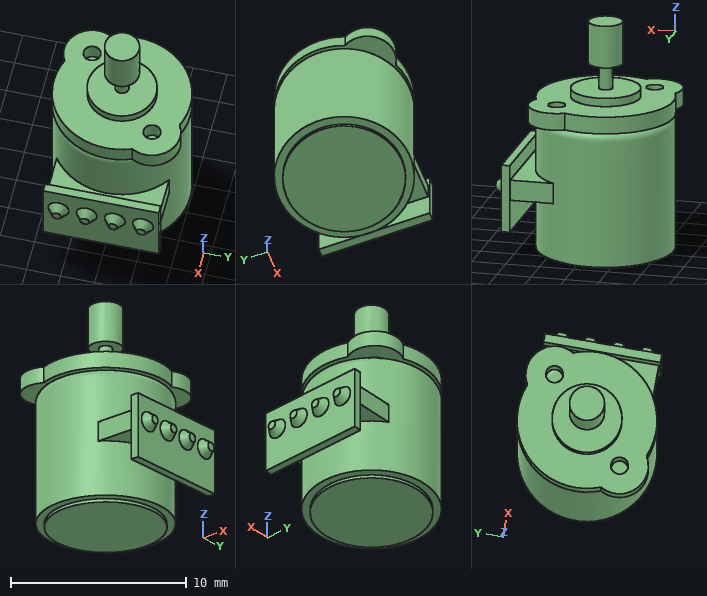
import cadquery as cq

body_radius = 4.0
body_height = 2 * body_radius
shoulder_fillet = 0.5
lip_radius = body_radius - shoulder_fillet
lip_height = 0.2

flange_thickness = 1.0
ear_offset = 2.3
ear_radius = 1.65
screw_hole_radius = 0.5

collar_radius = 2.0
collar_height = 0.5
shaft_radius = 0.4
pinion_radius = 1.0
pinion_height = 2.51
total_height = 13.7

terminal_tip_x = 5.8
terminal_length = 0.5
board_thickness = 0.51
board_width = 6.8
board_height = 4.0
board_center_z = 3.7
arm_width = 6.6
arm_height = 1.2
arm_center_z = 4.2
terminal_count = 4
terminal_pitch = arm_width / terminal_count
terminal_base_radius = 0.6
terminal_tip_radius = 0.26

body_top = lip_height + body_height
flange_top = body_top + flange_thickness
collar_top = flange_top + collar_height
pinion_bottom = total_height - pinion_height
board_outer_x = terminal_tip_x - terminal_length
board_inner_x = board_outer_x - board_thickness


def cylinder(radius, bottom, top, x=0, y=0):
    """Upright cylinder between two levels."""
    return cq.Workplane("XY", origin=(x, y, bottom)).circle(radius).extrude(top - bottom)


def make_body():
    """Can with a rounded top shoulder and a thin lip underneath."""
    can = cylinder(body_radius, lip_height, body_top)
    can = can.faces(">Z").edges().fillet(shoulder_fillet)
    return can.union(cylinder(lip_radius, 0, lip_height))


def make_flange():
    """Round flange with two opposite ears, each drilled through the flange."""
    flange = cylinder(body_radius, body_top, flange_top)
    ear_places = [(side * ear_offset, side * ear_offset) for side in (-1, 1)]
    for x, y in ear_places:
        flange = flange.union(cylinder(ear_radius, body_top, flange_top, x, y))
    for x, y in ear_places:
        flange = flange.cut(cylinder(screw_hole_radius, body_top, flange_top, x, y))
    return flange


def make_drive():
    """Collar, thin shaft and plain pinion stacked on the motor axis."""
    collar = cylinder(collar_radius, flange_top, collar_top)
    shaft = cylinder(shaft_radius, collar_top, pinion_bottom)
    pinion = cylinder(pinion_radius, pinion_bottom, total_height)
    return collar.union(shaft).union(pinion)


def make_terminal(y):
    """Cone frustum that narrows outward from the board."""
    return (
        cq.Workplane("YZ", origin=(board_outer_x, y, arm_center_z))
        .circle(terminal_base_radius)
        .workplane(offset=terminal_length)
        .circle(terminal_tip_radius)
        .loft()
    )


def make_connector():
    """Arm from the motor axis to an upright board that carries a row of terminals."""
    arm = cq.Workplane("XY", origin=(0, 0, arm_center_z)).box(
        board_inner_x, arm_width, arm_height, centered=(False, True, True)
    )
    board = cq.Workplane("XY", origin=(board_inner_x, 0, board_center_z)).box(
        board_thickness, board_width, board_height, centered=(False, True, True)
    )
    connector = arm.union(board)
    for index in range(terminal_count):
        y = (index - (terminal_count - 1) / 2) * terminal_pitch
        connector = connector.union(make_terminal(y))
    return connector


connector = make_connector().cut(cylinder(body_radius, lip_height, body_top))
result = make_body().union(make_flange()).union(make_drive()).union(connector)